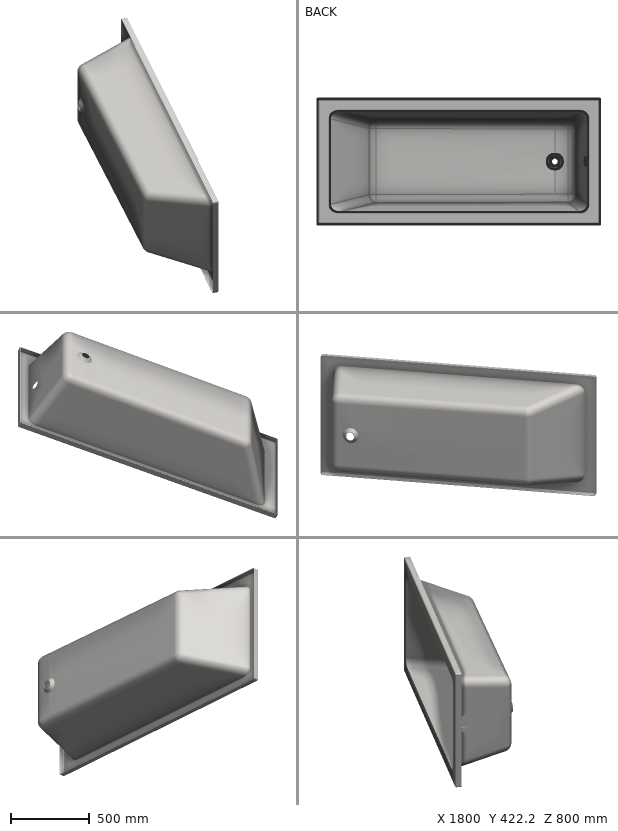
import cadquery as cq
import math


WALL = 3.0

LENGTH = 1800.0
WIDTH = 800.0
RIM_HEIGHT = 40.0
RIM_RADIUS = 10.0

HEAD_MARGIN = 74.5
FOOT_MARGIN = 76.0
SIDE_MARGIN = 76.0
HEAD_ANGLE = 12.0
FOOT_ANGLE = 35.0
SIDE_ANGLE = 10.0
BOWL_RADIUS = 55.0
ROOT_RADIUS = 5.0

FLOOR_DEPTH = 399.2
FLOOR_SLOPE = 0.70
DISH_SAG = 4.0

DRAIN_MARGIN = 289.0
DRAIN_X = -LENGTH / 2 + DRAIN_MARGIN
DRAIN_TIP_DEPTH = 422.2
DRAIN_TIP_DIAMETER = 60.0
DRAIN_CONE_ANGLE = 45.0
DRAIN_HOLE_DIAMETER = 52.0
OVERFLOW_DIAMETER = 52.0
OVERFLOW_DEPTH = 75.0


def tan(angle):
    return math.tan(math.radians(angle))


def cos(angle):
    return math.cos(math.radians(angle))


def rim_block(inset):
    """Rim slab with rounded corners and top edge, inset at the top and all round."""
    radius = RIM_RADIUS - inset
    slab = cq.Workplane("XZ", origin=(0, -inset, 0)).rect(LENGTH - 2 * inset, WIDTH - 2 * inset)
    slab = slab.extrude(RIM_HEIGHT - inset)
    return slab.edges("|Y").fillet(radius).faces(">Y").edges().fillet(radius)


def floor_dish(floor):
    """Shallow lens under the flat floor face: an arc on the crease, ruled to both floor ends."""
    corners = sorted((vertex.Center() for vertex in floor.Vertices()), key=lambda p: p.x)
    head_low, head_high = sorted(corners[:2], key=lambda p: p.z)
    foot_low, foot_high = sorted(corners[2:], key=lambda p: p.z)
    share = (DRAIN_X - head_low.x) / (foot_low.x - head_low.x)
    crease_low = head_low + (foot_low - head_low) * share
    crease_high = head_high + (foot_high - head_high) * share
    crease_middle = (crease_low + crease_high) * 0.5 - cq.Vector(0, DISH_SAG, 0)

    crease = cq.Edge.makeThreePointArc(crease_low, crease_middle, crease_high)
    head_end = cq.Edge.makeLine(head_low, head_high)
    foot_end = cq.Edge.makeLine(foot_low, foot_high)
    outline = [head_low, crease_low, foot_low, foot_high, crease_high, head_high]
    faces = [
        cq.Face.makeRuledSurface(head_end, crease),
        cq.Face.makeRuledSurface(crease, foot_end),
        cq.Face.makeFromWires(cq.Wire.makePolygon(outline, close=True)),
    ]
    return cq.Solid.makeSolid(cq.Shell.makeShell(faces)).fix()


def bowl_block(inset):
    """Tapered bowl with rounded edges and a dished floor, all faces inset."""
    head_top = -LENGTH / 2 + HEAD_MARGIN + inset / cos(HEAD_ANGLE)
    foot_top = LENGTH / 2 - FOOT_MARGIN - inset / cos(FOOT_ANGLE)
    side_top = WIDTH / 2 - SIDE_MARGIN - inset / cos(SIDE_ANGLE)
    drain_depth = FLOOR_DEPTH - inset
    slope = tan(FLOOR_SLOPE)

    head_depth = (drain_depth + (DRAIN_X - head_top) * slope) / (1 + tan(HEAD_ANGLE) * slope)
    foot_depth = (drain_depth + (DRAIN_X - foot_top) * slope) / (1 - tan(FOOT_ANGLE) * slope)
    head_floor = (head_top + head_depth * tan(HEAD_ANGLE), -head_depth)
    foot_floor = (foot_top - foot_depth * tan(FOOT_ANGLE), -foot_depth)
    lengthwise = cq.Workplane("XY").polyline([(head_top, 0), head_floor, foot_floor, (foot_top, 0)])
    lengthwise = lengthwise.close().extrude(WIDTH / 2, both=True)

    side_low = side_top - head_depth * tan(SIDE_ANGLE)
    crosswise = cq.Workplane("YZ").polyline(
        [(0, -side_top), (-head_depth, -side_low), (-head_depth, side_low), (0, side_top)]
    )
    crosswise = crosswise.close().extrude(LENGTH / 2, both=True)

    block = lengthwise.intersect(crosswise).edges("not >Y").fillet(BOWL_RADIUS - inset)
    floor = block.faces("%PLANE").faces("<Y").val()
    return block.union(cq.Workplane(floor_dish(floor)))


def drain_cone(inset):
    """Drain boss: a cone narrowing from the floor plane to the tip."""
    height = DRAIN_TIP_DEPTH - FLOOR_DEPTH
    tip_radius = DRAIN_TIP_DIAMETER / 2 - inset
    base_radius = tip_radius + height * tan(DRAIN_CONE_ANGLE)
    cone = cq.Solid.makeCone(
        base_radius, tip_radius, height, cq.Vector(DRAIN_X, inset - FLOOR_DEPTH, 0), cq.Vector(0, -1, 0)
    )
    return cq.Workplane(cone)


def drain_hole():
    hole = cq.Workplane("XZ", origin=(DRAIN_X, 0, 0)).circle(DRAIN_HOLE_DIAMETER / 2)
    return hole.extrude(DRAIN_TIP_DEPTH)


def overflow_hole():
    hole = cq.Workplane("YZ", origin=(-LENGTH / 2, -OVERFLOW_DEPTH, 0)).circle(OVERFLOW_DIAMETER / 2)
    return hole.extrude(LENGTH / 2)


def blend_root(tub):
    """Round the bowl's root, the only loop on the rim underside that lies inside the rim skirt."""
    root_zone = cq.selectors.BoxSelector(
        (-LENGTH / 2 + HEAD_MARGIN / 2, -2 * WALL, -WIDTH / 2 + SIDE_MARGIN / 2),
        (LENGTH / 2 - FOOT_MARGIN / 2, -WALL / 2, WIDTH / 2 - SIDE_MARGIN / 2),
    )
    return tub.edges(root_zone).fillet(ROOT_RADIUS)


rim = rim_block(0).cut(rim_block(WALL))
tub = blend_root(rim.union(bowl_block(0))).union(drain_cone(0))
tub = tub.cut(bowl_block(WALL)).cut(drain_cone(WALL))
result = tub.cut(drain_hole()).cut(overflow_hole())